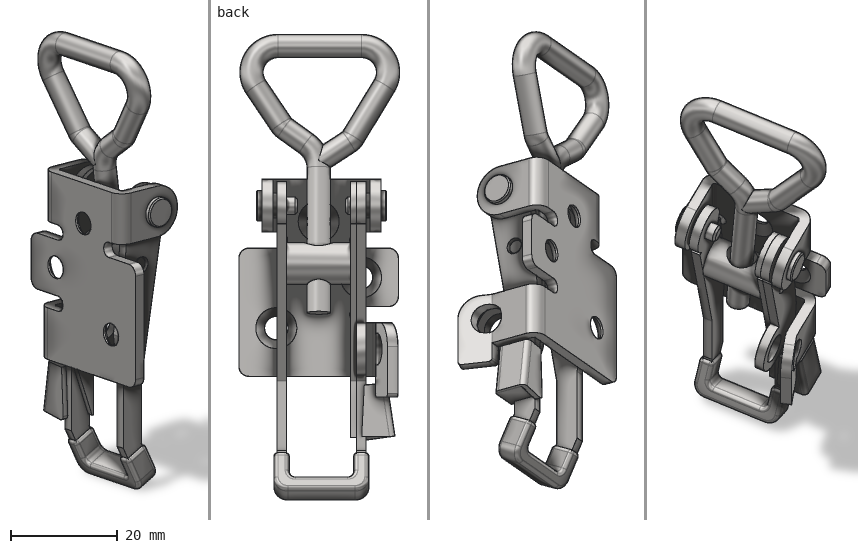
import cadquery as cq
import math


SHEET = 2.1
BEND_R = 2.6
PLATE_X = 0.5
PLATE_W = 30.0
PLATE_TOP = 24.1
PLATE_R = 1.9
SLOT_H = 3.0
SLOT_REACH = 5.85
EAR_X = 11.2
WALL_X = -12.3
WALL_H = 10.1
WALL_Y = 10.1
TAB_TILT = 18.0
TAB_LEN = 6.6
TAB_DROP = 3.8
TAB_TOP_R = 4.5
TAB_LOW_R = 0.7
SCREW_R = 2.2
SCREW_OFFSET = 7.95
SCREW_LAND = 0.4
SCREW_HOLES = [(PLATE_X, 29.1), (PLATE_X - SCREW_OFFSET, 18.6), (PLATE_X + SCREW_OFFSET, 9.1)]
PADLOCK_Y = 11.0
PADLOCK_Z = 5.15
PADLOCK_R = 3.0

PIVOT_Y = 9.2
EAR_R = 5.0
PIVOT_Z = PLATE_TOP + SLOT_H + EAR_R
RIVET_HEAD_R = 2.9
RIVET_HEAD_END = 12.2
RIVET_CHAMFER = 0.3
RIVET_BODY_R = 2.4
RIVET_TAIL_R = 1.7
RIVET_TAIL_END = 4.5
TAIL_CHAMFER = 0.4

ARM_X = 8.4
ARM_T = 1.8
ARM_END_R = 4.5
ARM_Y0 = 3.15
ARM_Y1 = 7.7
ARM_KNEE_Z = -13.9
ARM_BACK_TOP = (12.8, 28.65)
ARM_BACK_LOW = (ARM_Y1, -0.9)
ARM_FRONT_TOP = (4.2, 29.5)
ARM_FRONT_LOW = (2.3, 8.2)
HANDLE_TILT = 27.0
LEVER_EAR_Y = 11.3
LEVER_EAR_R = 4.9
LEVER_LOCK_Y = 11.5
LEVER_LOCK_R = 2.8

PAD_LIP = 1.1
PAD_TOP = -1.2
PAD_OUTLINE = [(-12.3, PAD_TOP), (-8.0, -1.6), (-7.5, -12.05), (-13.8, -11.2)]
PAD_BOTTOM = -11.3
PAD_EDGE_R = 1.05
PAD_CORNER_R = 0.8

GRIP_WALL = 0.5
GRIP_START = 1.4
GRIP_END = 9.4
GRIP_CORNER_R = 2.6
GRIP_EDGE_R = 0.8

SAFETY_T = 1.1
SAFETY_TIP = (7.3, -11.4)

BARREL_Y = 7.7
BARREL_Z = 21.2
BARREL_R = 3.9
BARREL_PIN_R = 1.3
BARREL_HOLE_R = 1.6
PIN_RECESS = 0.5
COUNTERSINK = 0.8
ROD_R = 2.2
ROD_X = 0.5
ROD_TILT = 7.6
ROD_END = -9.35
LOOP_TOP = 41.1
LOOP_CORNER_R = 5.0
KNEE_R = 2.6
ROD_BEND_R = 5.7
ROD_BEND = (0, 21.0)
RIGHT_KNEE = (6.7, 25.85)
RIGHT_CORNER = (16.95, LOOP_TOP)
LEFT_CORNER = (-16.9, LOOP_TOP)
LEFT_KNEE = (-6.1, 23.3)
LOOP_RETURN = (0, 19.3)

ARM_INNER_X = ARM_X - ARM_T
SAFETY_INNER_X = SAFETY_T - ARM_INNER_X
CORE_HALF_DEPTH = (ARM_Y1 - ARM_Y0) / 2 * math.cos(math.radians(HANDLE_TILT))


def cylinder_x(x0, x1, y, z, radius):
    """Cylinder along X between x0 and x1."""
    return cq.Workplane("YZ", origin=(x0, 0, 0)).center(y, z).circle(radius).extrude(x1 - x0)


def block(x0, x1, y0, y1, z0, z1):
    return cq.Workplane("XY").box(x1 - x0, y1 - y0, z1 - z0, centered=False).translate((x0, y0, z0))


def bent_flange(outer, y_end, z0, z1):
    """Bend and wall with its outer face at X = -outer, rising from the plate to y_end."""
    fold = BEND_R - outer
    arc = math.sqrt(0.5)
    inner_r = BEND_R - SHEET
    profile = (
        cq.Workplane("XY", origin=(0, 0, z0))
        .moveTo(fold, 0)
        .threePointArc((fold - BEND_R * arc, BEND_R * (1 - arc)), (-outer, BEND_R))
        .lineTo(-outer, y_end)
        .lineTo(SHEET - outer, y_end)
        .lineTo(SHEET - outer, BEND_R)
        .threePointArc((fold - inner_r * arc, BEND_R - inner_r * arc), (fold, SHEET))
        .close()
    )
    return profile.extrude(z1 - z0)


def make_plate():
    left = PLATE_X - PLATE_W / 2
    ear_fold = EAR_X - BEND_R
    wall_fold = WALL_X + BEND_R
    ear_low = PLATE_TOP + SLOT_H
    ear_top = PIVOT_Z + EAR_R
    tab_low = WALL_H + SLOT_H
    plate = block(left, left + PLATE_W, 0, SHEET, 0, PLATE_TOP)
    plate = plate.cut(block(left, wall_fold, 0, SHEET, 0, tab_low))
    rounded = [(left, tab_low), (left, PLATE_TOP), (left + PLATE_W, PLATE_TOP), (left + PLATE_W, 0)]
    for x, z in rounded:
        nearest = cq.selectors.NearestToPointSelector((x, SHEET / 2, z))
        plate = plate.edges("|Y").edges(nearest).fillet(PLATE_R)
    plate = plate.union(block(-ear_fold, ear_fold, 0, SHEET, PLATE_TOP, ear_top))
    for side, slot_z in ((-1, PLATE_TOP), (1, PLATE_TOP), (-1, WALL_H)):
        slot = (
            cq.Workplane("XZ")
            .center(PLATE_X + side * (SLOT_REACH + PLATE_W / 2), slot_z + SLOT_H / 2)
            .slot2D(PLATE_W, SLOT_H)
            .extrude(-SHEET)
        )
        plate = plate.cut(slot)
    for x, z in SCREW_HOLES:
        plate = plate.cut(screw_hole().translate((x, 0, z)))
    return plate


def screw_hole():
    """Through hole with a 90 degree countersink on the lever side."""
    straight = cq.Workplane("XZ").circle(SCREW_R).extrude(-SHEET)
    sink_depth = SHEET - SCREW_LAND
    sink = (
        cq.Workplane("XZ", origin=(0, SCREW_LAND, 0))
        .circle(SCREW_R)
        .workplane(offset=-sink_depth)
        .circle(SCREW_R + sink_depth)
        .loft()
    )
    return straight.union(sink)


def make_ear():
    """Left ear with a round end and its rivet hole."""
    ear = bent_flange(EAR_X, PIVOT_Y, PIVOT_Z - EAR_R, PIVOT_Z + EAR_R)
    inner = SHEET - EAR_X
    ear = ear.union(cylinder_x(-EAR_X, inner, PIVOT_Y, PIVOT_Z, EAR_R))
    return ear.cut(cylinder_x(-EAR_X, inner, PIVOT_Y, PIVOT_Z, RIVET_BODY_R))


def make_padlock_wall():
    """Wall with its outward tilted tab and the padlock hole."""
    tab = block(0, SHEET, -SHEET, TAB_LEN, -TAB_DROP, WALL_H)
    tab = tab.edges("|X").edges(">Y and >Z").fillet(TAB_TOP_R)
    tab = tab.edges("|X").edges(">Y and <Z").fillet(TAB_LOW_R)
    tab = tab.rotate((0, 0, 0), (0, 0, 1), TAB_TILT).translate((WALL_X, WALL_Y, 0))
    beyond_wall = block(WALL_X - TAB_LEN, 0, WALL_Y, WALL_Y + TAB_LEN + SHEET, -TAB_DROP, WALL_H)
    beyond_wall = beyond_wall.edges("|X").edges("<Y and <Z").fillet(TAB_LOW_R)
    wall = bent_flange(-WALL_X, WALL_Y, 0, WALL_H).union(tab.intersect(beyond_wall))
    return wall.cut(cylinder_x(WALL_X - TAB_LEN, WALL_X + TAB_LEN, PADLOCK_Y, PADLOCK_Z, PADLOCK_R))


def make_base():
    ear = make_ear()
    base = make_plate().union(ear).union(ear.mirror("YZ"))
    return base.union(make_padlock_wall())


def handle_loop(half_width, bar, half_depth, start, end, corner_r):
    """U-shaped bar on the axis of the bent end: X across, Z along (downward), Y through."""
    inner = half_width - bar
    loop = block(-half_width, half_width, -half_depth, half_depth, -end, -start)
    loop = loop.edges("|Y").edges("<Z").fillet(corner_r)
    opening = block(-inner, inner, -half_depth, half_depth, bar - end, -start)
    opening = opening.edges("|Y").edges("<Z").fillet(corner_r - bar / 2)
    return loop.cut(opening)


def place_handle(loop):
    centre_y = (ARM_Y0 + ARM_Y1) / 2
    return loop.rotate((0, 0, 0), (1, 0, 0), HANDLE_TILT).translate((0, centre_y, ARM_KNEE_Z))


def make_arm():
    """Left arm, from the rivet down to the knee."""
    outline = [
        ARM_BACK_TOP,
        ARM_BACK_LOW,
        (ARM_Y1, ARM_KNEE_Z),
        (ARM_Y0, ARM_KNEE_Z),
        (ARM_Y0, 0),
        ARM_FRONT_LOW,
        ARM_FRONT_TOP,
    ]
    arm = cq.Workplane("YZ", origin=(-ARM_X, 0, 0)).polyline(outline).close().extrude(ARM_T)
    arm = arm.union(cylinder_x(-ARM_X, -ARM_INNER_X, PIVOT_Y, PIVOT_Z, ARM_END_R))
    return arm.cut(pivot_holes(-ARM_X, -ARM_INNER_X))


def pivot_holes(x0, x1):
    """Holes for the rivet and for the barrel's pin."""
    rivet_hole = cylinder_x(x0, x1, PIVOT_Y, PIVOT_Z, RIVET_TAIL_R)
    return rivet_hole.union(cylinder_x(x0, x1, BARREL_Y, BARREL_Z, BARREL_HOLE_R))


def make_thumb_pad():
    """Outward tilted pad that clasps both edges of the left arm."""
    front = ARM_Y0 - PAD_LIP
    back = ARM_Y1 + PAD_LIP
    pad = cq.Workplane("XZ", origin=(0, front, 0)).polyline(PAD_OUTLINE).close().extrude(front - back)
    pad = pad.edges("|Y").edges(">X").fillet(PAD_CORNER_R)
    pad = pad.faces("<X").edges("not(|Y)").edges("<Y or >Y").fillet(PAD_EDGE_R)
    inner_x, lowest = PAD_OUTLINE[2]
    outer_x = PAD_OUTLINE[3][0]
    below = block(outer_x, inner_x, ARM_Y0, back, lowest, PAD_BOTTOM)
    return pad.cut(below)


def make_lever():
    core = handle_loop(
        ARM_X, ARM_T, CORE_HALF_DEPTH, -ARM_T - CORE_HALF_DEPTH,
        GRIP_END - GRIP_WALL, GRIP_CORNER_R - GRIP_WALL,
    )
    below_knee = block(-ARM_X, ARM_X, -GRIP_END, 2 * GRIP_END, ARM_KNEE_Z - GRIP_END, ARM_KNEE_Z)
    core = place_handle(core).intersect(below_knee)
    arm = make_arm()
    lever = core.union(arm).union(arm.mirror("YZ"))
    ear = cylinder_x(-ARM_X, -ARM_INNER_X, LEVER_EAR_Y, PADLOCK_Z, LEVER_EAR_R)
    hole = cylinder_x(-ARM_X, -ARM_INNER_X, LEVER_LOCK_Y, PADLOCK_Z, LEVER_LOCK_R)
    return lever.union(ear).cut(hole).union(make_thumb_pad())


def make_grip(lever):
    """Sleeve with rounded edges that encloses the lever's lower loop."""
    sleeve = handle_loop(
        ARM_X + GRIP_WALL, ARM_T + 2 * GRIP_WALL, CORE_HALF_DEPTH + GRIP_WALL, GRIP_START,
        GRIP_END, GRIP_CORNER_R,
    )
    sleeve = sleeve.edges().fillet(GRIP_EDGE_R)
    return place_handle(sleeve).cut(lever)


def make_safety_plate():
    """Thin plate against the inside of the left arm, ending in a point."""
    outline = [
        ARM_BACK_TOP,
        ARM_BACK_LOW,
        (ARM_Y1, SAFETY_TIP[1]),
        SAFETY_TIP,
        (ARM_Y0, 0),
        ARM_FRONT_LOW,
        ARM_FRONT_TOP,
    ]
    plate = cq.Workplane("YZ", origin=(-ARM_INNER_X, 0, 0)).polyline(outline).close().extrude(SAFETY_T)
    plate = plate.union(cylinder_x(-ARM_INNER_X, SAFETY_INNER_X, PIVOT_Y, PIVOT_Z, ARM_END_R))
    return plate.cut(pivot_holes(-ARM_INNER_X, SAFETY_INNER_X))


def make_rivet(side):
    """Rivet with its head outside the ear on the given side (-1 or 1)."""
    head = cylinder_x(-RIVET_HEAD_END, -EAR_X, PIVOT_Y, PIVOT_Z, RIVET_HEAD_R)
    head = head.faces("<X").chamfer(RIVET_CHAMFER)
    body = cylinder_x(-EAR_X, -ARM_X, PIVOT_Y, PIVOT_Z, RIVET_BODY_R)
    tail = cylinder_x(-ARM_X, -RIVET_TAIL_END, PIVOT_Y, PIVOT_Z, RIVET_TAIL_R)
    tail = tail.faces(">X").chamfer(TAIL_CHAMFER)
    rivet = head.union(body).union(tail)
    return rivet.mirror("YZ") if side > 0 else rivet


def place_on_rod(shape):
    """Move a shape built along Z from the origin onto the tilted rod axis."""
    return shape.rotate((0, 0, 0), (1, 0, 0), ROD_TILT).translate((ROD_X, BARREL_Y, BARREL_Z))


def make_barrel():
    """Cross barrel with a pin at each end and a countersunk hole for the rod."""
    pin_end = ARM_X - PIN_RECESS
    barrel = cylinder_x(SAFETY_INNER_X, ARM_INNER_X, BARREL_Y, BARREL_Z, BARREL_R)
    barrel = barrel.union(cylinder_x(-pin_end, pin_end, BARREL_Y, BARREL_Z, BARREL_PIN_R))
    reach = 2 * BARREL_R
    sink_start = BARREL_R - 2 * COUNTERSINK
    flare_r = ROD_R + (reach - sink_start) / 2
    bore_profile = [(0, -reach), (ROD_R, -reach), (ROD_R, sink_start), (flare_r, reach), (0, reach)]
    bore = cq.Workplane("XZ").polyline(bore_profile).close().revolve(360, (0, 0), (0, 1))
    return barrel.cut(place_on_rod(bore))


def rounded_path(points, radii):
    """Path in the XZ plane through the points, each inner corner rounded by its radius."""
    path = cq.Workplane("XZ").moveTo(*points[0])
    for before, corner, after, radius in zip(points, points[1:], points[2:], radii):
        to_before = math.atan2(before[1] - corner[1], before[0] - corner[0])
        to_after = math.atan2(after[1] - corner[1], after[0] - corner[0])
        half = abs(math.remainder(to_after - to_before, 2 * math.pi)) / 2
        middle = to_before + math.remainder(to_after - to_before, 2 * math.pi) / 2
        tangent = radius / math.tan(half)
        to_arc = radius / math.sin(half) - radius
        start = (corner[0] + tangent * math.cos(to_before), corner[1] + tangent * math.sin(to_before))
        mid = (corner[0] + to_arc * math.cos(middle), corner[1] + to_arc * math.sin(middle))
        end = (corner[0] + tangent * math.cos(to_after), corner[1] + tangent * math.sin(to_after))
        path = path.lineTo(*start).threePointArc(mid, end)
    return path.lineTo(*points[-1])


def make_hook():
    """Rod bent into a loop whose other end runs back into the rod."""
    top_middle = (0, LOOP_TOP)
    right_points = [(0, ROD_END), ROD_BEND, RIGHT_KNEE, RIGHT_CORNER, top_middle]
    right_path = rounded_path(right_points, [ROD_BEND_R, KNEE_R, LOOP_CORNER_R])
    left_points = [top_middle, LEFT_CORNER, LEFT_KNEE, LOOP_RETURN]
    left_path = rounded_path(left_points, [LOOP_CORNER_R, KNEE_R])
    right_half = cq.Workplane("XY", origin=(0, 0, ROD_END)).circle(ROD_R).sweep(right_path)
    left_half = cq.Workplane("YZ", origin=(0, 0, LOOP_TOP)).circle(ROD_R).sweep(left_path)
    return place_on_rod(right_half.union(left_half).clean())


base = make_base()
lever = make_lever()
grip = make_grip(lever)
safety_plate = make_safety_plate()
barrel = make_barrel()
hook = make_hook()
rivets = [make_rivet(side) for side in (-1, 1)]

result = cq.Compound.makeCompound(
    [
        base.val(),
        lever.val(),
        grip.val(),
        safety_plate.val(),
        barrel.val(),
        hook.val(),
        *[rivet.val() for rivet in rivets],
    ]
)